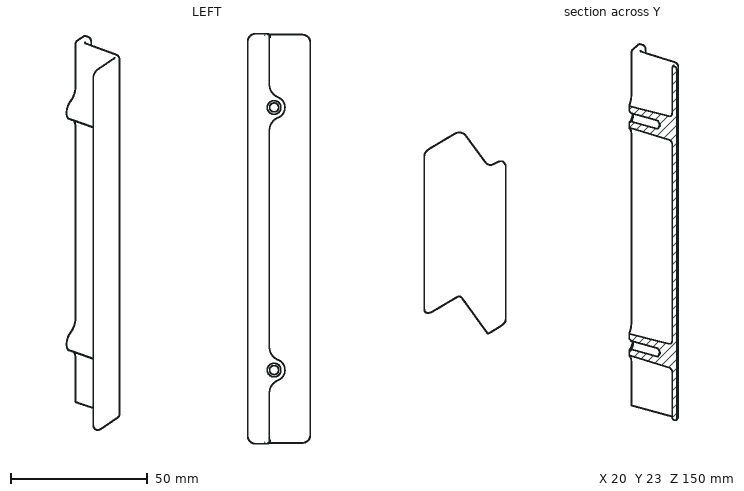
import cadquery as cq
import math

width = 20.0
depth = 23.0
length = 150.0

wall = 2.0
draft_angle = 1.0
web_inner_y = 15.0
flange_bend_radius = 2.2
leg_bend_radius = 3.0
leg_root_radius = 1.0
corner_radius = 3.0
edge_radius = 0.98

boss_spacing = 96.0
boss_center_y = 13.3
boss_radius = 4.0
boss_blend_radius = 5.0

hole_diameter = 3.3
hole_depth = 12.0
drill_tip_angle = 118.0
countersink_diameter = 5.0
countersink_angle = 90.0

leg_inner_x = width - wall
leg_middle_y = web_inner_y / 2
draft_slope = math.tan(math.radians(draft_angle))
boss_centers_z = (-boss_spacing / 2, boss_spacing / 2)


def web_inner_at(x):
    return web_inner_y - draft_slope * x


def web_outer_at(x):
    return web_inner_at(x) + wall


def nearest(x, y):
    """Select what lies closest to a point at mid-length."""
    return cq.selectors.NearestToPointSelector((x, y, 0))


def make_length_envelope():
    """Block around the section whose two ends draw in slightly toward the leg."""
    flange_half = length / 2
    leg_half = flange_half - draft_slope * width
    return (
        cq.Workplane("XZ")
        .moveTo(0, -flange_half)
        .lineTo(width, -leg_half)
        .lineTo(width, leg_half)
        .lineTo(0, flange_half)
        .close()
        .extrude(-depth)
    )


def make_rail():
    """Z section trimmed by its drafted ends, with outer bends and plate corners rounded."""
    rail = (
        cq.Workplane("XY")
        .moveTo(0, depth)
        .lineTo(0, web_inner_at(0))
        .lineTo(leg_inner_x, web_inner_at(leg_inner_x))
        .lineTo(leg_inner_x, 0)
        .lineTo(width, 0)
        .lineTo(width, web_outer_at(width))
        .lineTo(wall, web_outer_at(wall))
        .lineTo(wall, depth)
        .close()
        .extrude(length / 2, both=True)
    )
    rail = rail.intersect(make_length_envelope())
    rail = rail.edges(nearest(width, web_outer_at(width))).fillet(leg_bend_radius)
    rail = rail.edges(nearest(wall, web_outer_at(wall))).fillet(flange_bend_radius)
    plate_corners = rail.edges("<Y or >Y").edges("not |Z")
    return plate_corners.fillet(corner_radius)


def boss_outline(x, center_z):
    """Closed boss section at x: a round nose joined to the web by concave arcs."""
    web_y = web_inner_at(x)
    radius = boss_radius + draft_slope * x
    blend_center_y = web_y - boss_blend_radius
    center_distance = radius + boss_blend_radius
    rise = boss_center_y - blend_center_y
    foot_z = math.sqrt(center_distance**2 - rise**2)
    tangent_y = boss_center_y - rise * radius / center_distance
    tangent_z = foot_z * radius / center_distance
    middle_angle = (math.pi / 2 + math.pi - math.atan2(rise, foot_z)) / 2
    middle_y = blend_center_y + boss_blend_radius * math.sin(middle_angle)
    middle_z = foot_z + boss_blend_radius * math.cos(middle_angle)
    back_y = web_y + wall / 2
    outline = (
        cq.Workplane("YZ", origin=(x, 0, center_z))
        .moveTo(web_y, -foot_z)
        .threePointArc((middle_y, -middle_z), (tangent_y, -tangent_z))
        .threePointArc((boss_center_y - radius, 0), (tangent_y, tangent_z))
        .threePointArc((middle_y, middle_z), (web_y, foot_z))
        .lineTo(back_y, foot_z)
        .lineTo(back_y, -foot_z)
        .close()
    )
    return outline.val()


def make_boss(center_z):
    """Boss from the flange face to the leg, widening slightly toward the leg."""
    outlines = [boss_outline(x, center_z) for x in (0, leg_inner_x)]
    return cq.Workplane(cq.Solid.makeLoft(outlines, True))


def make_hole(center_z):
    """Cutter for a blind drilled hole with a conical bottom and a countersunk mouth."""
    hole_radius = hole_diameter / 2
    mouth_radius = countersink_diameter / 2
    tip_length = hole_radius / math.tan(math.radians(drill_tip_angle / 2))
    mouth_depth = (mouth_radius - hole_radius) / math.tan(math.radians(countersink_angle / 2))
    return (
        cq.Workplane("XY", origin=(0, boss_center_y, center_z))
        .lineTo(0, mouth_radius)
        .lineTo(mouth_depth, hole_radius)
        .lineTo(hole_depth, hole_radius)
        .lineTo(hole_depth + tip_length, 0)
        .close()
        .revolve(360, (0, 0, 0), (1, 0, 0))
    )


def round_leg_root(body):
    """Fillet where the web and the bosses meet the leg."""
    return body.faces(nearest(leg_inner_x, leg_middle_y)).edges(">Y").fillet(leg_root_radius)


def round_rim(body, leg_face_x):
    """Round the rim that runs on smoothly from the tip of one leg face."""
    return body.faces(nearest(leg_face_x, leg_middle_y)).edges("<Y").fillet(edge_radius)


result = make_rail()
for boss_z in boss_centers_z:
    result = result.union(make_boss(boss_z))
result = round_leg_root(result)
result = round_rim(result, leg_inner_x)
result = round_rim(result, width)
for boss_z in boss_centers_z:
    result = result.cut(make_hole(boss_z))